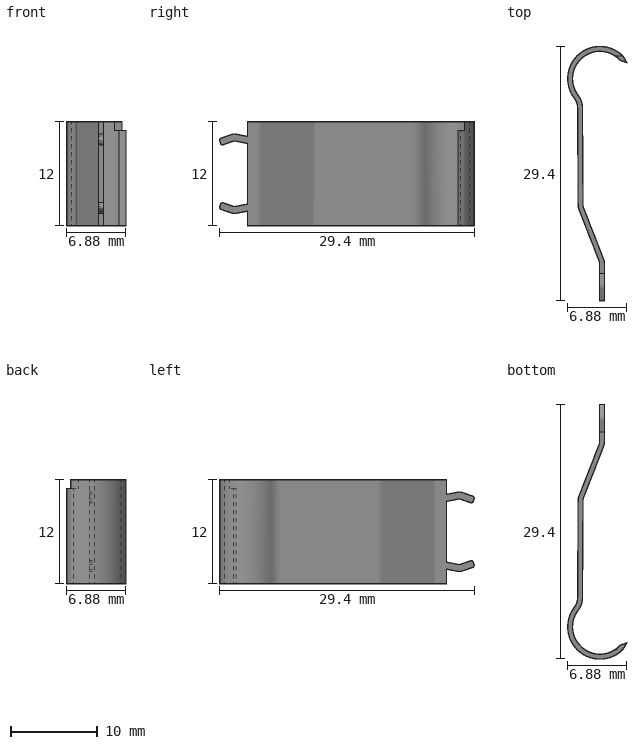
import cadquery as cq
import math

thickness = 0.6
half_thickness = thickness / 2
overall_length = 29.37
width = 12.0

hook_outer_radius = 3.73
hook_inner_radius = hook_outer_radius - thickness
hook_mid_radius = hook_outer_radius - half_thickness
arc_end_angle = 45
inner_end_angle = 42
tip = (3.15, 1.82)

notch_depth = 1.0
notch_y = 2.58

neck = (-2.3, -3.35)
upper_bend = (-2.23, -14.77)
lower_bend = (0.23, -21.1)
plate_end = (lower_bend[0], -22.45)
bend_inner_radius = 0.53
bend_outer_radius = bend_inner_radius + thickness
bottom_y = hook_outer_radius - overall_length

tab_width = 0.82
tab_root_z = 3.9
tab_crank_y = -23.97
tab_crank_z = 4.2
tab_tip_angle = 19
tab_crank_inner_radius = 0.18
tab_crank_outer_radius = tab_crank_inner_radius + tab_width
tab_corner_radius = 0.25


def polar(radius, angle):
    """Point on a circle about the hook axis, angle in degrees."""
    return (radius * math.cos(math.radians(angle)), radius * math.sin(math.radians(angle)))


def side_of(path, distance):
    """Open path shifted sideways by distance with mitred corners."""
    normals = []
    for start, end in zip(path, path[1:]):
        dx, dy = end[0] - start[0], end[1] - start[1]
        length = math.hypot(dx, dy)
        normals.append((-dy / length, dx / length))
    shifted = []
    for index, point in enumerate(path):
        before = normals[max(index - 1, 0)]
        after = normals[min(index, len(normals) - 1)]
        scale = distance / (1 + before[0] * after[0] + before[1] * after[1])
        shifted.append((point[0] + scale * (before[0] + after[0]), point[1] + scale * (before[1] + after[1])))
    return shifted


def round_edge(body, point, radius):
    """Fillet the edge whose midpoint lies nearest to a point."""
    return body.edges(cq.selectors.NearestToPointSelector(point)).fillet(radius)


def make_strip():
    """Hook and bent strip, extruded across the full width."""
    neck_x, neck_y = neck
    neck_radius = (neck_x**2 + neck_y**2 - hook_mid_radius**2) / (2 * (hook_mid_radius + neck_x))
    neck_centre = (neck_x - neck_radius, neck_y)
    joint_angle = math.degrees(math.atan2(neck_centre[1], neck_centre[0])) + 360
    neck_sweep_middle = (joint_angle - 180) / 2

    def neck_middle(radius):
        x, y = polar(radius, neck_sweep_middle)
        return (neck_centre[0] + x, neck_centre[1] + y)

    midline = [neck, upper_bend, lower_bend, plate_end]
    right_side = side_of(midline, half_thickness)
    left_side = side_of(midline, -half_thickness)

    strip = (
        cq.Workplane("XY", origin=(0, 0, -width / 2))
        .moveTo(*tip)
        .lineTo(*polar(hook_outer_radius, arc_end_angle))
        .threePointArc(
            polar(hook_outer_radius, (arc_end_angle + joint_angle) / 2),
            polar(hook_outer_radius, joint_angle),
        )
        .threePointArc(neck_middle(neck_radius - half_thickness), left_side[0])
        .polyline(left_side[1:] + right_side[:0:-1], includeCurrent=True)
        .lineTo(*right_side[0])
        .threePointArc(neck_middle(neck_radius + half_thickness), polar(hook_inner_radius, joint_angle))
        .threePointArc(
            polar(hook_inner_radius, (inner_end_angle + joint_angle) / 2),
            polar(hook_inner_radius, inner_end_angle),
        )
        .close()
        .extrude(width)
    )
    for bend in (1, 2):
        inner, outer = right_side[bend], left_side[bend]
        if bend == 2:
            inner, outer = outer, inner
        strip = round_edge(strip, (*inner, 0), bend_inner_radius)
        strip = round_edge(strip, (*outer, 0), bend_outer_radius)
    return strip


def make_notch():
    """Block that shortens the upper end of the hook tip."""
    return cq.Workplane("XY", origin=(0, 0, width / 2 - notch_depth)).rect(
        hook_outer_radius, notch_y, centered=False
    ).extrude(notch_depth)


def make_tab():
    """Upper tab, cranked outward and back, with rounded end corners."""
    root_slope = (tab_crank_z - tab_root_z) / (plate_end[1] - tab_crank_y)
    buried_y = plate_end[1] + half_thickness
    buried_z = tab_root_z - half_thickness * root_slope
    slope = math.radians(tab_tip_angle)
    end_flat = tab_width / 2 - tab_corner_radius
    overrun = tab_corner_radius * (1 - math.cos(slope)) + end_flat * math.sin(slope)
    end_y = bottom_y + overrun
    end_z = tab_crank_z - (tab_crank_y - end_y) * math.tan(slope)

    midline = [(buried_y, buried_z), (tab_crank_y, tab_crank_z), (end_y, end_z)]
    inner_side = side_of(midline, tab_width / 2)
    outer_side = side_of(midline, -tab_width / 2)
    left_x = plate_end[0] - half_thickness
    tab = (
        cq.Workplane("YZ", origin=(left_x, 0, 0))
        .polyline(inner_side + outer_side[::-1])
        .close()
        .extrude(thickness)
    )
    middle_x = plate_end[0]
    tab = round_edge(tab, (middle_x, *inner_side[1]), tab_crank_inner_radius)
    tab = round_edge(tab, (middle_x, *outer_side[1]), tab_crank_outer_radius)
    for side in (inner_side, outer_side):
        tab = round_edge(tab, (middle_x, *side[2]), tab_corner_radius)
    return tab


tab = make_tab()
result = make_strip().cut(make_notch()).union(tab).union(tab.mirror("XY"))